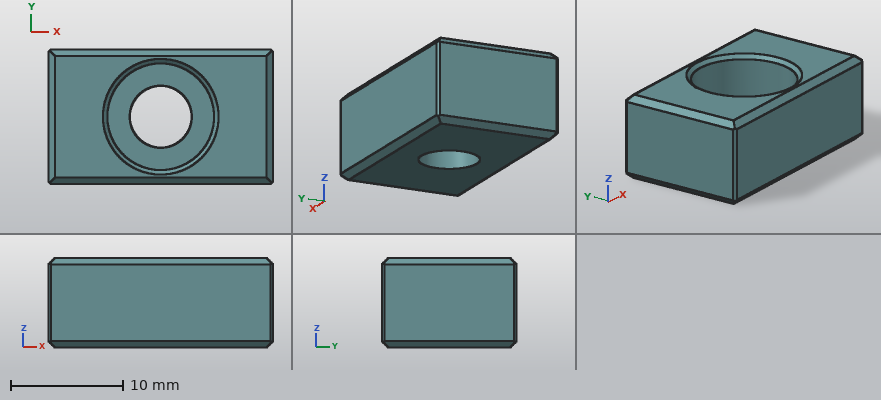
import cadquery as cq

length = 20.0
width = 12.0
height = 8.0
rim_chamfer = 0.6
corner_chamfer = 0.25

hole_diameter = 5.5
counterbore_diameter = 9.5
counterbore_depth = 5.4
mouth_chamfer = 0.4


def plain_block():
    """Sharp-edged block standing on Z = 0, centred on the Z axis."""
    return cq.Workplane("XY").box(length, width, height, centered=(True, True, False))


def chamfered_block():
    """Block whose mitred rim chamfers are trimmed by the smaller upright corner chamfers."""
    rims_broken = plain_block().faces("<Z or >Z").chamfer(rim_chamfer)
    corners_broken = plain_block().edges("|Z").chamfer(corner_chamfer)
    return rims_broken.intersect(corners_broken)


def cut_screw_hole(block):
    """Cut the counterbored through hole and chamfer the mouth of the counterbore."""
    top = block.faces(">Z").workplane(origin=(0, 0, height))
    drilled = top.cboreHole(hole_diameter, counterbore_diameter, counterbore_depth)
    return drilled.faces(">Z").edges("%CIRCLE").chamfer(mouth_chamfer)


result = cut_screw_hole(chamfered_block())